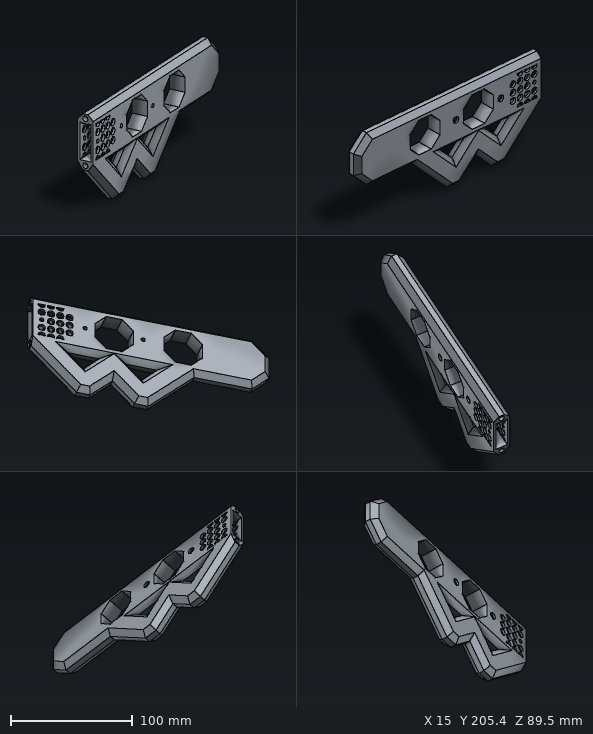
import cadquery as cq
import math

thickness = 15.0
plate_height = 50.0
edge_chamfer = 5.0
mid_z = plate_height / 2

window_sides = 8
window_width = 33.1
window_spacing = 59.5
front_window_y = 70.0
rear_window_y = front_window_y + window_spacing

rear_end_y = 205.0
rear_corner_cut = plate_height / (2 + math.sqrt(2))

handle_reach = 39.5
handle_overhang = 0.4
tip_offset = 25.0
bar_height = 32.0
tip_apex_z = -(front_window_y + handle_overhang - tip_offset)
tip_half_flat = -handle_reach - tip_apex_z
valley_z = tip_apex_z + tip_offset
handle_top_z = 20.0
toe_length = 10.0

screw_diameter = 3.4
screw_head_diameter = 6.0
screw_head_depth = 2.0
screw_offset = 25.0

pocket_width = 10.5
pocket_height = 33.0
pocket_depth = 35.0
post_height = 7.0
post_length = 7.0
post_gap = 2.0

pin_diameter = 4.8
pin_depth = 10.0
pin_inset = 4.0

grille_diameter = 6.0
grille_pitch = 8.0
grille_first_y = 7.6
grille_columns = 4
grille_half_height = 2 * grille_pitch


def extrude_across(sketch):
    """Extrude a YZ outline through the full thickness, centred on X = 0."""
    return sketch.extrude(thickness / 2, both=True)


def hole_across(diameter, y, z):
    sketch = cq.Workplane("YZ").center(y, z).circle(diameter / 2)
    return extrude_across(sketch)


def make_plate():
    outline = [
        (0, -handle_overhang),
        (toe_length, -handle_overhang - toe_length),
        (2 * toe_length + handle_overhang, 0),
        (rear_end_y - rear_corner_cut, 0),
        (rear_end_y, rear_corner_cut),
        (rear_end_y, plate_height - rear_corner_cut),
        (rear_end_y - rear_corner_cut, plate_height),
        (0, plate_height),
    ]
    plate = extrude_across(cq.Workplane("YZ").polyline(outline).close())
    return plate.faces("<X or >X").edges("not <Y").chamfer(edge_chamfer)


def make_handle():
    outer_top = front_window_y + handle_overhang + handle_top_z
    right_half = [
        (0, valley_z),
        (tip_offset - tip_half_flat, -handle_reach),
        (tip_offset + tip_half_flat, -handle_reach),
        (outer_top, handle_top_z),
        (outer_top - bar_height, handle_top_z),
        (tip_offset, tip_apex_z + bar_height),
        (0, valley_z + bar_height),
    ]
    left_half = [(-y, z) for y, z in reversed(right_half[1:-1])]
    sketch = cq.Workplane("YZ").center(front_window_y, 0).polyline(right_half + left_half).close()
    handle = extrude_across(sketch).faces("<X or >X").chamfer(edge_chamfer)
    excess = cq.Workplane("XY").box(
        thickness, plate_height, plate_height, centered=(True, False, False)
    ).translate((0, -plate_height, 0))
    return handle.cut(excess)


def make_window(y):
    circumscribed_diameter = window_width / math.cos(math.pi / window_sides)
    sketch = cq.Workplane("YZ").polygon(window_sides, circumscribed_diameter)
    window = extrude_across(sketch).rotate((0, 0, 0), (1, 0, 0), 180 / window_sides)
    return window.translate((0, y, mid_z))


def make_screw_hole(y):
    head = (
        cq.Workplane("YZ", origin=(-thickness / 2, y, mid_z))
        .circle(screw_head_diameter / 2)
        .extrude(screw_head_depth)
    )
    return hole_across(screw_diameter, y, mid_z).union(head)


def make_pocket():
    full_depth = pocket_depth + post_length
    pocket = cq.Workplane("XY").box(
        pocket_width, full_depth, pocket_height, centered=(True, False, True)
    )
    post_x = post_gap / 2
    post_z = (pocket_height - post_height) / 2
    for side in (-1, 1):
        post = cq.Workplane("XY").box(
            pocket_width - post_gap, post_length, post_height, centered=(True, False, True)
        )
        pocket = pocket.cut(post.translate((post_x, pocket_depth, side * post_z)))
    return pocket.translate((0, 0, mid_z))


def make_pin_hole(z):
    return cq.Workplane("XZ").center(0, z).circle(pin_diameter / 2).extrude(-pin_depth)


def make_grille():
    grille = cq.Workplane("YZ")
    for column in range(grille_columns):
        y = grille_first_y + column * grille_pitch
        is_front = column == 0
        is_rear = column == grille_columns - 1
        rows = (-1, 0, 1) if is_rear else (-2, -1, 0, 1, 2)
        for row in rows:
            diameter = screw_diameter if is_front and row == 0 else grille_diameter
            grille = grille.add(hole_across(diameter, y, mid_z + row * grille_pitch))
    grille = grille.combine()
    grille_length = grille_columns * grille_pitch + grille_first_y
    limits = cq.Workplane("XY").box(
        thickness, grille_length, 2 * grille_half_height, centered=(True, False, True)
    )
    return grille.intersect(limits.translate((0, 0, mid_z)))


result = make_plate().union(make_handle())
for window_y in (front_window_y, rear_window_y):
    result = result.cut(make_window(window_y))
for screw_y in (front_window_y - screw_offset, front_window_y + screw_offset):
    result = result.cut(make_screw_hole(screw_y))
result = result.cut(make_pocket())
for pin_z in (pin_inset, plate_height - pin_inset):
    result = result.cut(make_pin_hole(pin_z))
result = result.cut(make_grille())